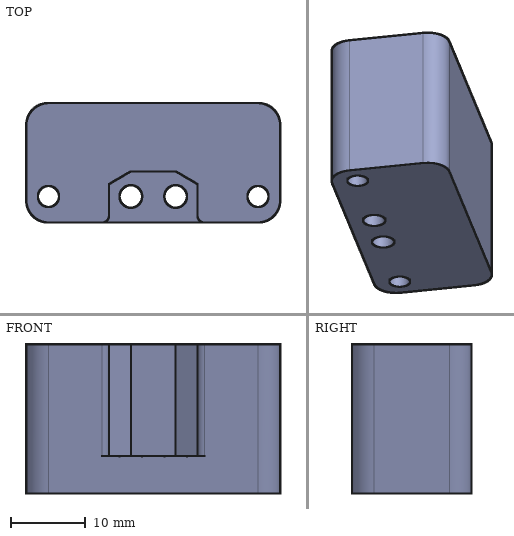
import cadquery as cq

length = 34.0
depth = 16.0
height = 20.0
corner_radius = 3.0
front_y = -depth / 2

floor_height = 5.0
pocket_width = 11.8
pocket_depth = 6.87
pocket_back_width = 6.0
straight_wall_depth = 5.17
mouth_radius = 1.0

hole_row_y = front_y + 3.5
mounting_spacing = 28.0
mounting_diameter = 2.8
pocket_hole_spacing = pocket_back_width
pocket_hole_diameter = 3.0


def rounded_block():
    block = cq.Workplane("XY").box(length, depth, height, centered=(True, True, False))
    return block.edges("|Z").fillet(corner_radius)


def pocket():
    """Pocket with angled back corners and a mouth that flares out in convex arcs."""
    half_width = pocket_width / 2
    half_back = pocket_back_width / 2
    half_mouth = half_width + mouth_radius
    arc_end_y = front_y + mouth_radius
    wall_end_y = front_y + straight_wall_depth
    back_y = front_y + pocket_depth
    return (
        cq.Workplane("XY", origin=(0, 0, floor_height))
        .moveTo(-half_mouth, front_y)
        .radiusArc((-half_width, arc_end_y), -mouth_radius)
        .lineTo(-half_width, wall_end_y)
        .lineTo(-half_back, back_y)
        .lineTo(half_back, back_y)
        .lineTo(half_width, wall_end_y)
        .lineTo(half_width, arc_end_y)
        .radiusArc((half_mouth, front_y), -mouth_radius)
        .close()
        .extrude(height - floor_height)
    )


def hole_pair(spacing, diameter):
    return (
        cq.Workplane("XY")
        .pushPoints([(-spacing / 2, hole_row_y), (spacing / 2, hole_row_y)])
        .circle(diameter / 2)
        .extrude(height)
    )


result = (
    rounded_block()
    .cut(pocket())
    .cut(hole_pair(mounting_spacing, mounting_diameter))
    .cut(hole_pair(pocket_hole_spacing, pocket_hole_diameter))
)